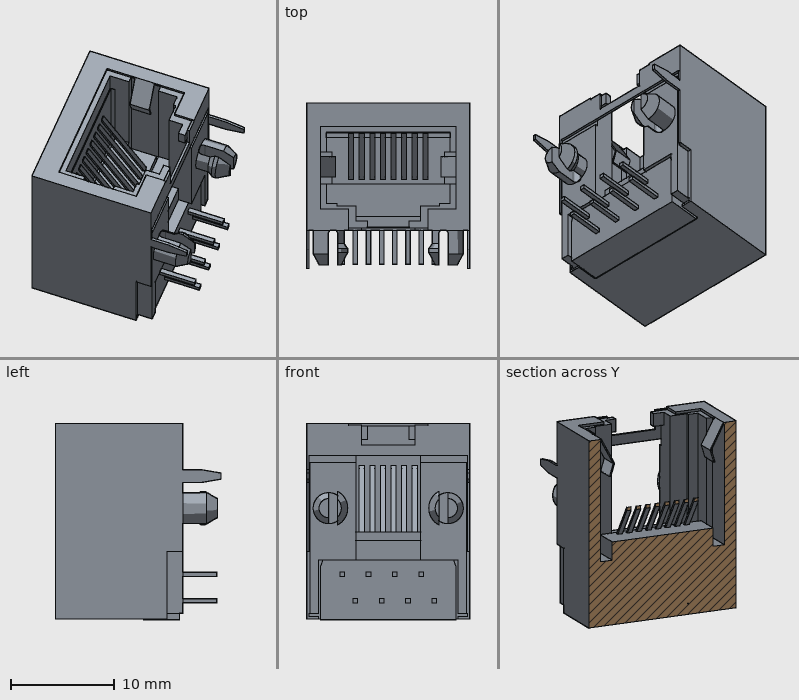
import cadquery as cq


WIDTH = 15.7
DEPTH = 12.28
HEIGHT = 18.92
SHELL_BOTTOM = 0.08
WALL = 0.25
HALF_WIDTH = WIDTH / 2

WINDOW_HALF = 6.5
WINDOW_FRONT = 2.05
WINDOW_BACK = 10.0
WINDOW_LIP_HALF = 3.82
FRONT_WALL_TOP = 18.77
LATCH_NOTCH_HALF = 2.57
LATCH_NOTCH_BOTTOM = 16.82

FRONT_OPENING_HALF = 7.65
FRONT_OPENING_TOP = 15.82
CUTAWAY_TOP = 6.58
CUTAWAY_DEPTH = 1.53
BOTTOM_GAP_DEPTH = 3.8

BODY_HALF = 7.51
BODY_BOTTOM = 0.65
PAD_TOP = 15.17

CAVITY_HALF = 5.96
CAVITY_BACK = 9.48
CAVITY_FRONT = 2.57
CAVITY_STEP_HALF = 4.94
CAVITY_STEP_FRONT = 2.33
CHANNEL_HALF = 3.12
FLOOR = 7.66
CONTACT_FLOOR = 8.45
CONTACT_FLOOR_FRONT = 4.48
FLOOR_FRONT = 1.36
TAB_INNER = 2.0
TAB_DEPTH = 0.93
TAB_BOTTOM = 17.39

BACK_LEDGE = 16.6
GROOVE_FRONT = 8.97
GROOVE_BACK = 9.38
GROOVE_HALF = 6.0

RECESS_INNER = 5.4
RECESS_OUTER = 6.58
RECESS_FRONT = CONTACT_FLOOR_FRONT
RECESS_BACK = 7.53
RECESS_FLOOR = 6.62

SPRING_FRONT = 5.13
SPRING_BACK = 7.11
SPRING_BEND_X = 5.09
SPRING_BEND_Z = 16.29
SPRING_END_X = 5.49
SPRING_END_Z = 15.02
SPRING_THICKNESS = 0.15

CONTACT_COUNT = 8
CONTACT_PITCH = 1.02
CONTACT_WIDTH = 0.5
CONTACT_FOOT_Y = 4.9
CONTACT_TIP_Y = 9.3
CONTACT_TIP_Z = 14.87
CONTACT_THICKNESS = 0.26

CARRIER_HALF = 6.53
CARRIER_FRONT = 0.32
CARRIER_TOP = 5.79
CARRIER_CORNER_WIDTH = 0.25
CARRIER_CORNER_HEIGHT = 0.68
POCKET_HALF = 6.7

PIN_COUNT = 8
PIN_SPACING = 1.27
PIN_WIDTH = 0.45
PIN_HEIGHT = 0.42
PIN_TIP = -3.27
UPPER_ROW_Z = 4.39
LOWER_ROW_Z = 1.85

PEG_X = 5.73
PEG_Z = 10.77
PEG_RADIUS = 1.5
PEG_TIP = -3.33
PEG_TAPER_START = -2.27
PEG_TIP_RADIUS = 0.93
PEG_BARB_RADIUS = 1.84
PEG_BARB_ROOT = -1.25
PEG_BARB_BACK = -1.75
PEG_BARB_FRONT = -2.14
PEG_BARB_TIP_RADIUS = 1.21
SLOT_INNER = 4.86
SLOT_OUTER = 5.77
SLOT_MIDDLE = (SLOT_OUTER + SLOT_INNER) / 2
SLOT_ROUND_Y = -0.36

LEG_CENTER_Z = 13.85
LEG_HALF_HEIGHT = 0.62
LEG_TAPER_START = -1.82
LEG_TIP = -3.67
LEG_TIP_HALF_HEIGHT = 0.3


def block(x0, x1, y0, y1, z0, z1):
    """Box given by its limits along X, Y and Z."""
    return cq.Workplane("XY").box(x1 - x0, y1 - y0, z1 - z0, centered=False).translate((x0, y0, z0))


def centered_block(half, y0, y1, z0, z1):
    """Box symmetric about X = 0."""
    return block(-half, half, y0, y1, z0, z1)


def both_sides(solid):
    """The solid together with its mirror image about X = 0."""
    return solid.union(solid.mirror("YZ"))


def side_profile(points, x0, x1):
    """Outline of (Y, Z) points extruded from x0 to x1."""
    return cq.Workplane("YZ").polyline(points).close().extrude(x1 - x0).translate((x0, 0, 0))


def make_housing():
    """Shell and insulating body as one block, relieved around the body at the lower front."""
    housing = centered_block(HALF_WIDTH, 0, DEPTH, SHELL_BOTTOM, HEIGHT)
    housing = housing.cut(
        centered_block(FRONT_OPENING_HALF, 0, WALL, SHELL_BOTTOM + WALL, FRONT_OPENING_TOP)
    )
    gap_bottom = SHELL_BOTTOM + WALL
    housing = housing.cut(centered_block(FRONT_OPENING_HALF, 0, BOTTOM_GAP_DEPTH, gap_bottom, BODY_BOTTOM))
    housing = housing.cut(centered_block(HALF_WIDTH, 0, CUTAWAY_DEPTH, SHELL_BOTTOM, BODY_BOTTOM))
    side_cutaway = block(BODY_HALF, HALF_WIDTH, 0, CUTAWAY_DEPTH, SHELL_BOTTOM, CUTAWAY_TOP)
    housing = housing.cut(both_sides(side_cutaway))
    return housing.union(centered_block(BODY_HALF, 0, WALL, BODY_BOTTOM, PAD_TOP))


def make_shell_openings():
    """Plug window in the top plate and latch notch in the front wall."""
    plate_bottom = HEIGHT - WALL
    window = centered_block(WINDOW_HALF, WINDOW_FRONT, WINDOW_BACK, plate_bottom, HEIGHT)
    lip = centered_block(WINDOW_LIP_HALF, WALL, WINDOW_FRONT, plate_bottom, HEIGHT)
    front_lip = centered_block(WINDOW_LIP_HALF, 0, WALL, FRONT_WALL_TOP, HEIGHT)
    notch = centered_block(LATCH_NOTCH_HALF, 0, WALL, LATCH_NOTCH_BOTTOM, HEIGHT)
    return window.union(lip).union(front_lip).union(notch)


def make_cavity():
    """Stepped plug cavity, open at the front through the latch channel."""
    top = HEIGHT - WALL
    cavity = centered_block(CAVITY_HALF, CONTACT_FLOOR_FRONT, GROOVE_BACK, CONTACT_FLOOR, top)
    cavity = cavity.union(centered_block(CAVITY_HALF, GROOVE_BACK, CAVITY_BACK, BACK_LEDGE, top))
    cavity = cavity.union(centered_block(CAVITY_HALF, CAVITY_FRONT, CONTACT_FLOOR_FRONT, FLOOR, top))
    cavity = cavity.union(centered_block(CAVITY_STEP_HALF, CAVITY_STEP_FRONT, CAVITY_FRONT, FLOOR, top))
    cavity = cavity.union(centered_block(CHANNEL_HALF, TAB_DEPTH, CAVITY_STEP_FRONT, FLOOR, top))
    cavity = cavity.union(centered_block(CHANNEL_HALF, WALL, TAB_DEPTH, FLOOR, TAB_BOTTOM))
    cavity = cavity.union(centered_block(TAB_INNER, WALL, TAB_DEPTH, TAB_BOTTOM, top))
    cavity = cavity.union(centered_block(CHANNEL_HALF, 0, WALL, CARRIER_TOP, FRONT_OPENING_TOP))
    cavity = cavity.union(centered_block(CHANNEL_HALF, 0, FLOOR_FRONT, CARRIER_TOP, FLOOR))
    cavity = cavity.union(centered_block(GROOVE_HALF, GROOVE_FRONT, GROOVE_BACK, FLOOR, BACK_LEDGE))
    recess = block(RECESS_INNER, RECESS_OUTER, RECESS_FRONT, RECESS_BACK, RECESS_FLOOR, top)
    return cavity.union(both_sides(recess))


def make_carrier():
    """Pin carrier block with its two upper corners bevelled."""
    shoulder_half = CARRIER_HALF - CARRIER_CORNER_WIDTH
    shoulder_z = CARRIER_TOP - CARRIER_CORNER_HEIGHT
    outline = [
        (-CARRIER_HALF, 0),
        (CARRIER_HALF, 0),
        (CARRIER_HALF, shoulder_z),
        (shoulder_half, CARRIER_TOP),
        (-shoulder_half, CARRIER_TOP),
        (-CARRIER_HALF, shoulder_z),
    ]
    length = BOTTOM_GAP_DEPTH - CARRIER_FRONT
    carrier = cq.Workplane("XZ").polyline(outline).close().extrude(-length)
    return carrier.translate((0, CARRIER_FRONT, 0))


def make_pins():
    """Solder pins, alternating between the upper and lower rows."""
    pins = cq.Workplane("XY")
    for i in range(PIN_COUNT):
        x = (i - (PIN_COUNT - 1) / 2) * PIN_SPACING
        z = UPPER_ROW_Z if i % 2 == 0 else LOWER_ROW_Z
        pin = block(
            x - PIN_WIDTH / 2, x + PIN_WIDTH / 2,
            PIN_TIP, CARRIER_FRONT + WALL,
            z - PIN_HEIGHT / 2, z + PIN_HEIGHT / 2,
        )
        pins = pins.union(pin)
    return pins


def make_contacts():
    """Sloping contacts rising from the contact floor to the cavity's back wall."""
    slope = (CONTACT_TIP_Z - CONTACT_FLOOR) / (CONTACT_TIP_Y - CONTACT_FOOT_Y)
    root_y = CONTACT_FOOT_Y - WALL / slope
    root_z = CONTACT_FLOOR - WALL
    outline = [
        (root_y, root_z),
        (CONTACT_TIP_Y, CONTACT_TIP_Z),
        (CONTACT_TIP_Y + CONTACT_THICKNESS, CONTACT_TIP_Z),
        (root_y + CONTACT_THICKNESS, root_z),
    ]
    contacts = cq.Workplane("XY")
    for i in range(CONTACT_COUNT):
        x = (i - (CONTACT_COUNT - 1) / 2) * CONTACT_PITCH
        contacts = contacts.union(side_profile(outline, x - CONTACT_WIDTH / 2, x + CONTACT_WIDTH / 2))
    return contacts


def make_spring():
    """Right grounding spring, bent inward from the window edge and back out at its end."""
    outline = [
        (WINDOW_HALF, HEIGHT),
        (SPRING_BEND_X, SPRING_BEND_Z),
        (SPRING_END_X, SPRING_END_Z),
        (SPRING_END_X + SPRING_THICKNESS, SPRING_END_Z),
        (SPRING_BEND_X + SPRING_THICKNESS, SPRING_BEND_Z),
        (WINDOW_HALF + SPRING_THICKNESS, HEIGHT),
    ]
    spring = cq.Workplane("XZ").polyline(outline).close().extrude(SPRING_FRONT - SPRING_BACK)
    return spring.translate((0, SPRING_FRONT, 0))


def turned(profile):
    """Solid of revolution about the peg axis from (radius, Y) points."""
    peg = cq.Workplane("XY").polyline(profile).close().revolve(360, (0, 0, 0), (0, 1, 0))
    return peg.translate((PEG_X, 0, PEG_Z))


def make_peg_slot():
    """Slot that splits the right peg, with a round root reaching just into the pad."""
    slot_width = SLOT_OUTER - SLOT_INNER
    z0 = PEG_Z - PEG_BARB_RADIUS
    z1 = PEG_Z + PEG_BARB_RADIUS
    straight = block(SLOT_INNER, SLOT_OUTER, PEG_TIP, SLOT_ROUND_Y, z0, z1)
    root = cq.Workplane("XY").center(SLOT_MIDDLE, SLOT_ROUND_Y).circle(slot_width / 2)
    root = root.extrude(2 * PEG_RADIUS).translate((0, 0, PEG_Z - PEG_RADIUS))
    shank = turned([
        (0, SLOT_ROUND_Y - slot_width),
        (PEG_RADIUS, SLOT_ROUND_Y - slot_width),
        (PEG_RADIUS, SLOT_ROUND_Y + slot_width),
        (0, SLOT_ROUND_Y + slot_width),
    ])
    return straight.union(root.intersect(shank))


def make_peg():
    """Right peg: a plain outer half and a barbed inner half, before slotting."""
    plain = turned([
        (0, 0),
        (PEG_RADIUS, 0),
        (PEG_RADIUS, PEG_TAPER_START),
        (PEG_TIP_RADIUS, PEG_TIP),
        (0, PEG_TIP),
    ])
    barbed = turned([
        (0, 0),
        (PEG_RADIUS, 0),
        (PEG_RADIUS, PEG_BARB_ROOT),
        (PEG_BARB_RADIUS, PEG_BARB_BACK),
        (PEG_BARB_RADIUS, PEG_BARB_FRONT),
        (PEG_BARB_TIP_RADIUS, PEG_TIP),
        (0, PEG_TIP),
    ])
    z0 = PEG_Z - PEG_BARB_RADIUS
    z1 = PEG_Z + PEG_BARB_RADIUS
    inner_side = block(PEG_X - PEG_BARB_RADIUS, SLOT_MIDDLE, PEG_TIP, 0, z0, z1)
    return plain.cut(inner_side).union(barbed.intersect(inner_side))


def make_leg():
    """Right ground leg, a tapered tongue of the shell's side wall."""
    outline = [
        (0, LEG_CENTER_Z + LEG_HALF_HEIGHT),
        (LEG_TAPER_START, LEG_CENTER_Z + LEG_HALF_HEIGHT),
        (LEG_TIP, LEG_CENTER_Z + LEG_TIP_HALF_HEIGHT),
        (LEG_TIP, LEG_CENTER_Z - LEG_TIP_HALF_HEIGHT),
        (LEG_TAPER_START, LEG_CENTER_Z - LEG_HALF_HEIGHT),
        (0, LEG_CENTER_Z - LEG_HALF_HEIGHT),
    ]
    return side_profile(outline, HALF_WIDTH - WALL, HALF_WIDTH)


pocket = centered_block(POCKET_HALF, 0, BOTTOM_GAP_DEPTH, 0, CARRIER_TOP)

result = make_housing().cut(make_shell_openings()).cut(make_cavity()).cut(pocket)
result = result.union(make_carrier()).union(make_pins()).union(make_contacts())
result = result.union(both_sides(make_spring()))
result = result.union(both_sides(make_peg())).cut(both_sides(make_peg_slot()))
result = result.union(both_sides(make_leg()))